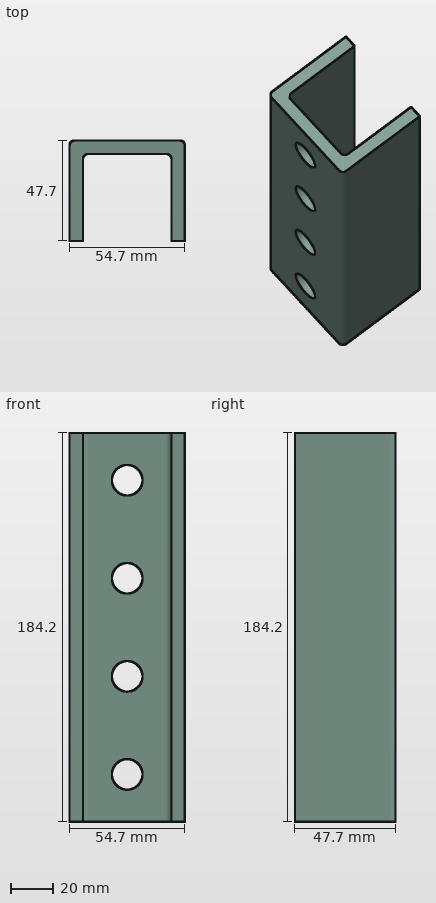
import cadquery as cq

width = 54.7
depth = 47.7
length = 184.2
wall = 6.5
outer_radius = 2.4
inner_radius = 2.4

hole_diameter = 14.4
hole_pitch = 46.4
hole_count = 4


def make_channel():
    """U-shaped channel with rounded corners where the flanges meet the web."""
    outer = (
        cq.Workplane("XY")
        .box(width, depth, length)
        .edges("|Z and >Y")
        .fillet(outer_radius)
    )
    cavity = (
        cq.Workplane("XY")
        .box(width - 2 * wall, depth, length)
        .edges("|Z and >Y")
        .fillet(inner_radius)
        .translate((0, -wall, 0))
    )
    return outer.cut(cavity)


def make_web_holes():
    """Cylinders along Y that pierce the web."""
    return (
        cq.Workplane("XZ")
        .rarray(1.8, hole_pitch, 1, hole_count)
        .circle(hole_diameter / 2)
        .extrude(depth, both=True)
    )


result = make_channel().cut(make_web_holes())